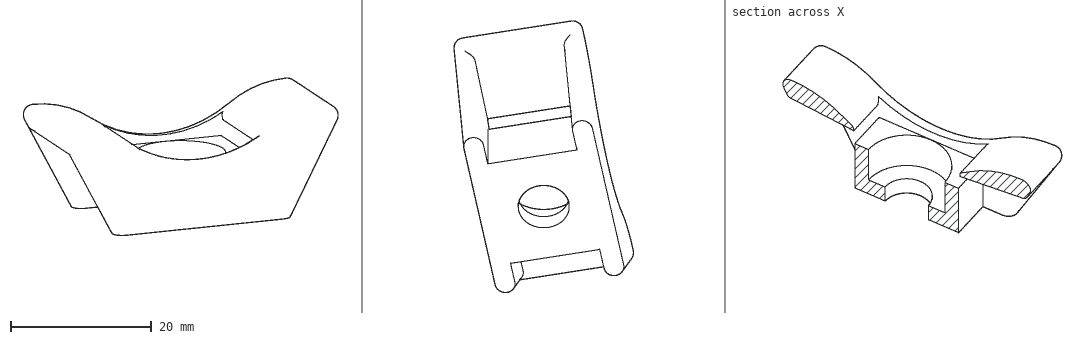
import cadquery as cq
import math

width = 18.6
length = 41.7
height = 15.68
base_half_length = 13.55
edge_radius = 1.5
side_radius = 1.45

saddle_low_z = 9.45
blend_y = 10.67
crest_y = length / 2 - edge_radius
blend_angle = 2 * math.atan((height - saddle_low_z) / crest_y)
saddle_radius = blend_y / math.sin(blend_angle)
crest_radius = (crest_y - blend_y) / math.sin(blend_angle)
blend_z = saddle_low_z + saddle_radius * (1 - math.cos(blend_angle))

tip_z = height - edge_radius
tip_run = crest_y - base_half_length
lean = math.atan2(tip_run, tip_z) + math.asin(edge_radius / math.hypot(tip_run, tip_z))

passage_width = 12.9
window_half_length = 8.92
roof_inner_z = 11.0
roof_outer_z = 12.1
mouth_radius = 1.38
mouth_width = passage_width + 2 * mouth_radius
cheek_thickness = 1.65
roof_edge_radius = 0.85
window_radius = 0.63

block_length = 17.43
block_height = 8.67
bore_diameter = 7.25
counterbore_diameter = 12.8
counterbore_depth = 5.88


def end_face_y(z):
    """Distance from the middle to the leaning end face at height z."""
    return base_half_length + z * math.tan(lean)


roof_slope = (roof_outer_z - roof_inner_z) / (end_face_y(roof_outer_z) - window_half_length)
roof_far_z = roof_inner_z + roof_slope * (length - window_half_length)


def make_body():
    """Saddle outline extruded along X and rounded everywhere except at the base."""
    half_angle = blend_angle / 2
    crest_mid_y = crest_y - crest_radius * math.sin(half_angle)
    crest_mid_z = height - crest_radius * (1 - math.cos(half_angle))
    tip_low_y = crest_y + edge_radius * math.cos(lean)
    tip_low_z = tip_z - edge_radius * math.sin(lean)
    tip_mid_angle = (math.pi / 2 - lean) / 2
    tip_mid_y = crest_y + edge_radius * math.cos(tip_mid_angle)
    tip_mid_z = tip_z + edge_radius * math.sin(tip_mid_angle)
    body = (
        cq.Workplane("YZ")
        .moveTo(-base_half_length, 0)
        .lineTo(base_half_length, 0)
        .lineTo(tip_low_y, tip_low_z)
        .threePointArc((tip_mid_y, tip_mid_z), (crest_y, height))
        .threePointArc((crest_mid_y, crest_mid_z), (blend_y, blend_z))
        .threePointArc((0, saddle_low_z), (-blend_y, blend_z))
        .threePointArc((-crest_mid_y, crest_mid_z), (-crest_y, height))
        .threePointArc((-tip_mid_y, tip_mid_z), (-tip_low_y, tip_low_z))
        .close()
        .extrude(width / 2, both=True)
    )
    return body.faces("<X or >X").edges("not <Z").fillet(side_radius)


def cut_passage(body):
    """Strap passage through both ends, under a roof rising toward each rounded mouth."""
    passage = (
        cq.Workplane("YZ")
        .polyline([
            (-length, 0),
            (length, 0),
            (length, roof_far_z),
            (window_half_length, roof_inner_z),
            (-window_half_length, roof_inner_z),
            (-length, roof_far_z),
        ])
        .close()
        .extrude(mouth_width / 2, both=True)
    )
    hollow = body.cut(passage)
    for end in (-1, 1):
        roof_edge = cq.selectors.NearestToPointSelector((0, end * end_face_y(roof_outer_z), roof_outer_z))
        hollow = hollow.edges("|X").edges(roof_edge).fillet(roof_edge_radius)
    for cheek in make_cheeks():
        hollow = hollow.union(cheek.intersect(body))
    return hollow


def make_cheeks():
    """Inner wall linings that narrow the passage, rounded where they meet each mouth."""
    cheek = (
        cq.Workplane("YZ")
        .workplane(offset=passage_width / 2)
        .polyline([
            (-base_half_length, 0),
            (base_half_length, 0),
            (end_face_y(height), height),
            (-end_face_y(height), height),
        ])
        .close()
        .extrude(cheek_thickness)
        .faces("<X")
        .edges("not |Y")
        .fillet(mouth_radius)
    )
    return cheek, cheek.mirror("YZ")


def cut_window(body):
    """Rectangular window in the saddle with a rounded upper rim."""
    window = cq.Workplane("XY").box(
        passage_width, 2 * window_half_length, height, centered=(True, True, False)
    )
    body = body.cut(window)
    half = passage_width / 2
    rim_end_z = saddle_low_z + saddle_radius - math.sqrt(saddle_radius**2 - window_half_length**2)
    rim_points = [
        (0, -window_half_length, rim_end_z),
        (0, window_half_length, rim_end_z),
        (-half, 0, saddle_low_z),
        (half, 0, saddle_low_z),
    ]
    rim = []
    for point in rim_points:
        rim += body.edges("|X or %CIRCLE").edges(cq.selectors.NearestToPointSelector(point)).vals()
    return body.newObject(rim).fillet(window_radius)


def make_block():
    """Flat-topped screw block with a counterbored hole."""
    return (
        cq.Workplane("XY")
        .box(passage_width, block_length, block_height, centered=(True, True, False))
        .faces(">Z")
        .workplane()
        .cboreHole(bore_diameter, counterbore_diameter, counterbore_depth)
    )


body = make_body()
body = cut_passage(body)
body = cut_window(body)
result = body.union(make_block())